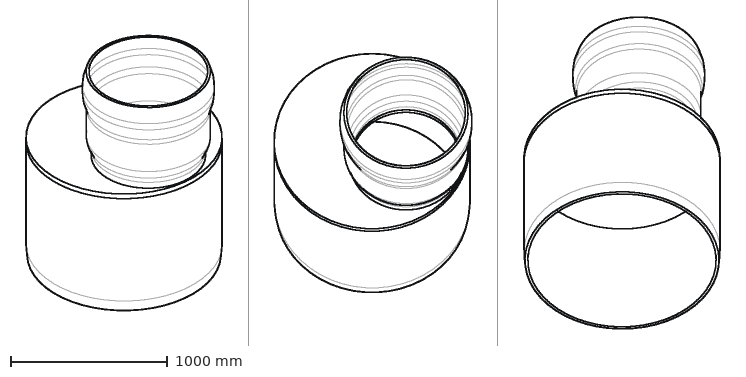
import cadquery as cq
import math

PIPE_DIAMETER = 1250.0
PIPE_BORE = 1200.0
PIPE_HEIGHT = 880.0
TAPER_HEIGHT = 82.0
TAPER_DEPTH = 6.0

PLATE_THICKNESS = 36.0
PLATE_TOP = PIPE_HEIGHT + PLATE_THICKNESS

SOCKET_OFFSET = 250.0
SOCKET_WALL = 15.0
NECK_RADIUS = 730.0 / 2
BARREL_RADIUS = 791.0 / 2
BULGE_RADIUS = 842.0 / 2
NECK_BORE = 2 * (NECK_RADIUS - SOCKET_WALL)

NECK_END = 964.0
SHOULDER_BEND = 1006.0
BARREL_START = 1070.0
BARREL_END = 1285.0
BULGE_BEND = 1325.0
BULGE_START = 1415.0
BULGE_END = 1463.0
MOUTH_HEIGHT = 1570.0


def s_bend(low_radius, high_radius, low_z, bend_z, high_z):
    """Steepest angle and both arc radii of an S-bend that ends parallel to the axis."""
    angle = 2 * math.atan((high_radius - low_radius) / (high_z - low_z))
    concave = (bend_z - low_z) / math.sin(angle)
    convex = (high_z - bend_z) / math.sin(angle)
    return angle, concave, convex


SHOULDER = s_bend(NECK_RADIUS, BARREL_RADIUS, NECK_END, SHOULDER_BEND, BARREL_START)
BULGE = s_bend(BARREL_RADIUS, BULGE_RADIUS, BARREL_END, BULGE_BEND, BULGE_START)


def arc_point(center, radius, angle):
    """Point on an arc, with the angle measured from the outward radial direction."""
    return (center[0] + radius * math.cos(angle), center[1] + radius * math.sin(angle))


def add_s_bend(outline, bend, low, high, inset):
    """Continue an outline upward through an S-bend, set in from the outer face."""
    angle, concave, convex = bend
    concave_center = (low[0] + concave, low[1])
    convex_center = (high[0] - convex, high[1])
    return (
        outline
        .lineTo(low[0] - inset, low[1])
        .threePointArc(
            arc_point(concave_center, concave + inset, math.pi - angle / 2),
            arc_point(concave_center, concave + inset, math.pi - angle),
        )
        .threePointArc(
            arc_point(convex_center, convex - inset, -angle / 2),
            (high[0] - inset, high[1]),
        )
    )


def socket_body(inset):
    """Solid bounded by the socket's outer face set in by the given amount."""
    outline = cq.Workplane("XZ").moveTo(0, PLATE_TOP).lineTo(NECK_RADIUS - inset, PLATE_TOP)
    outline = add_s_bend(
        outline, SHOULDER, (NECK_RADIUS, NECK_END), (BARREL_RADIUS, BARREL_START), inset
    )
    outline = add_s_bend(
        outline, BULGE, (BARREL_RADIUS, BARREL_END), (BULGE_RADIUS, BULGE_START), inset
    )

    bulge_curve = BULGE[2]
    mouth_curve = bulge_curve - inset
    mouth_center = (BULGE_RADIUS - bulge_curve, BULGE_END)
    mouth_angle = math.asin((MOUTH_HEIGHT - BULGE_END) / mouth_curve)
    outline = (
        outline
        .lineTo(BULGE_RADIUS - inset, BULGE_END)
        .threePointArc(
            arc_point(mouth_center, mouth_curve, mouth_angle / 2),
            arc_point(mouth_center, mouth_curve, mouth_angle),
        )
        .lineTo(0, MOUTH_HEIGHT)
        .close()
    )
    return outline.revolve(360, (0, 0, 0), (0, 1, 0))


def make_pipe():
    outer = PIPE_DIAMETER / 2
    bore = PIPE_BORE / 2
    return (
        cq.Workplane("XZ")
        .moveTo(bore, 0)
        .lineTo(outer - TAPER_DEPTH, 0)
        .lineTo(outer, TAPER_HEIGHT)
        .lineTo(outer, PIPE_HEIGHT)
        .lineTo(bore, PIPE_HEIGHT)
        .close()
        .revolve(360, (0, 0, 0), (0, 1, 0))
    )


def make_plate():
    disc = cq.Workplane("XY").workplane(offset=PIPE_HEIGHT).circle(PIPE_DIAMETER / 2)
    plate = disc.extrude(PLATE_THICKNESS)
    return plate.faces(">Z").workplane(origin=(SOCKET_OFFSET, 0, PLATE_TOP)).hole(NECK_BORE)


def make_socket():
    return socket_body(0).cut(socket_body(SOCKET_WALL)).translate((SOCKET_OFFSET, 0, 0))


pipe = make_pipe()
plate = make_plate()
socket = make_socket()

result = cq.Compound.makeCompound([pipe.val(), plate.solids().val(), socket.solids().val()])